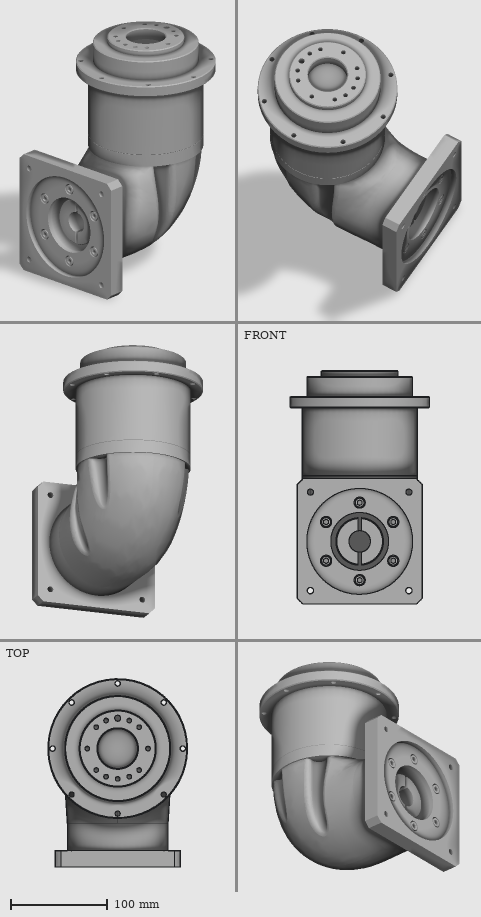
import cadquery as cq
import math


PLATE_SIDE = 130.0
PLATE_THICKNESS = 17.0
PLATE_CORNER_CHAMFER = 6.0
PLATE_HOLE_OFFSET = 51.0
PLATE_HOLE_RADIUS = 3.1
RECESS_RADIUS = 55.0
RECESS_DEPTH = 6.0

SCREW_COUNT = 6
SCREW_CIRCLE_RADIUS = 40.2
COUNTERBORE_RADIUS = 5.8
SCREW_HEAD_RADIUS = 4.5
HEAD_CLEARANCE_DEPTH = 4.8
HEX_ACROSS_CORNERS = 5.8
HEX_DEPTH = 3.0

INPUT_BORE_RADIUS = 30.0
HUB_RADIUS = 24.7
HUB_LENGTH = 24.2
HUB_CHAMFER = 1.0
SHAFT_BORE_RADIUS = 11.1
SHAFT_BORE_DEPTH = 34.0
CLAMP_SLOT_WIDTH = 3.5

FLANGE_RADIUS = 72.55
BARREL_RADIUS = 59.8
PILOT_RADIUS = 55.0
DISC_RADIUS = 40.0
OVERALL_HEIGHT = 242.2
OVERALL_DEPTH = 195.5
DISC_HEIGHT = 6.0
PILOT_HEIGHT = 20.8
FLANGE_HEIGHT = 11.6
BARREL_HEIGHT = 70.7
COLLAR_HEIGHT = 12.8
EDGE_CHAMFER = 1.0
SEAM_CHAMFER = 0.5

FLANGE_HOLE_COUNT = 8
FLANGE_HOLE_CIRCLE_RADIUS = 67.5
FLANGE_HOLE_RADIUS = 2.7

DISC_BORE_RADIUS = 20.5
DISC_BORE_DEPTH = 12.0
DISC_HOLE_CIRCLE_RADIUS = 31.5
DISC_HOLE_RADIUS = 2.5
DISC_HOLE_DEPTH = 9.7
DRILL_POINT_ANGLE = 118
DISC_HOLE_ANGLES = (0, 45, 67.5, 112.5, 135, 180, 225, 247.5, 270, 292.5, 315)
DOWEL_HOLE_ANGLE = 90
DOWEL_HOLE_RADIUS = 3.1
DOWEL_HOLE_DEPTH = 9.7

NECK_RADIUS = 58.1
INPUT_TUBE_RADIUS = 52.3
INPUT_TUBE_LENGTH = 28.0
BEND_RADIUS = 99.8
BEND_SECTIONS = 7

GROOVE_X = 48.0
GROOVE_Y = 27.5
GROOVE_RADIUS = 8.2
GROOVE_EDGE_FILLET = 5.3
RIM_TOP_MARGIN = 0.2

TOP_Z = OVERALL_HEIGHT - PLATE_SIDE / 2
PILOT_TOP_Z = TOP_Z - DISC_HEIGHT
FLANGE_TOP_Z = PILOT_TOP_Z - PILOT_HEIGHT
BARREL_TOP_Z = FLANGE_TOP_Z - FLANGE_HEIGHT
COLLAR_TOP_Z = BARREL_TOP_Z - BARREL_HEIGHT
NECK_Z = COLLAR_TOP_Z - COLLAR_HEIGHT
PLATE_FRONT_Y = FLANGE_RADIUS - OVERALL_DEPTH
PLATE_BACK_Y = PLATE_FRONT_Y + PLATE_THICKNESS
RECESS_FLOOR_Y = PLATE_FRONT_Y + RECESS_DEPTH
BEND_END_Y = PLATE_BACK_Y + INPUT_TUBE_LENGTH


def plane_facing_input(y):
    """Plane at the given Y, with X to the right, Z up and its normal toward -Y."""
    return cq.Workplane("XZ", origin=(0, y, 0))


def bend_outer_reach(angle):
    """Distance from the pivot (BEND_END_Y, NECK_Z) to the outside of the bend.

    The outside is an arc tangent to the back of the neck and the underside of the input tube.
    """
    centre_y = NECK_RADIUS - BEND_RADIUS - BEND_END_Y
    centre_z = BEND_RADIUS - INPUT_TUBE_RADIUS - NECK_Z
    along_y = math.cos(angle)
    along_z = -math.sin(angle)
    to_neck_back = (NECK_RADIUS - BEND_END_Y) / max(along_y, 1e-9)
    if to_neck_back * along_z >= centre_z:
        return to_neck_back
    to_tube_bottom = (NECK_Z + INPUT_TUBE_RADIUS) / -along_z
    if to_tube_bottom * along_y <= centre_y:
        return to_tube_bottom
    projection = centre_y * along_y + centre_z * along_z
    offset_squared = centre_y**2 + centre_z**2 - projection**2
    return projection + math.sqrt(BEND_RADIUS**2 - offset_squared)


def bend_inner_reach(angle):
    """Distance from the pivot to the sharp inside corner, below the neck and above the tube."""
    to_neck_front = (-NECK_RADIUS - BEND_END_Y) / max(math.cos(angle), 1e-9)
    to_tube_top = (NECK_Z - INPUT_TUBE_RADIUS) / max(math.sin(angle), 1e-9)
    return min(to_neck_front, to_tube_top)


def bend_section(step):
    """Elliptical cross-section of the bend, in a plane turned about the pivot."""
    share = step / (BEND_SECTIONS - 1)
    angle = share * math.pi / 2
    half_width = NECK_RADIUS + share * (INPUT_TUBE_RADIUS - NECK_RADIUS)
    inner = bend_inner_reach(angle)
    outer = bend_outer_reach(angle)
    middle = (inner + outer) / 2
    half_depth = (outer - inner) / 2
    centre = cq.Vector(0, BEND_END_Y + middle * math.cos(angle), NECK_Z - middle * math.sin(angle))
    outward = cq.Vector(0, math.cos(angle), -math.sin(angle))
    normal = outward.cross(cq.Vector(1, 0, 0))
    ellipse = cq.Edge.makeEllipse(half_depth, half_width, centre, normal, outward) \
        if half_depth > half_width else \
        cq.Edge.makeEllipse(half_width, half_depth, centre, normal, cq.Vector(1, 0, 0), 90, 450)
    return cq.Wire.assembleEdges([ellipse])


def make_elbow():
    bend = cq.Workplane(cq.Solid.makeLoft([bend_section(step) for step in range(BEND_SECTIONS)]))
    tube = plane_facing_input(BEND_END_Y).circle(INPUT_TUBE_RADIUS).extrude(INPUT_TUBE_LENGTH)
    return bend.union(tube)


def cut_grooves(elbow):
    """Vertical round-bottomed grooves, open to the sides, with rounded rims."""
    reach = 2 * GROOVE_RADIUS
    for side in (-1, 1):
        for y in (-GROOVE_Y, GROOVE_Y):
            groove = (
                cq.Workplane("XY", origin=(side * GROOVE_X, y, NECK_Z))
                .moveTo(side * reach, -GROOVE_RADIUS)
                .lineTo(0, -GROOVE_RADIUS)
                .threePointArc((-side * GROOVE_RADIUS, 0), (0, GROOVE_RADIUS))
                .lineTo(side * reach, GROOVE_RADIUS)
                .close()
                .extrude(-NECK_Z - INPUT_TUBE_RADIUS)
            )
            elbow = elbow.cut(groove)
    for side in (-1, 1):
        rims = cq.selectors.BoxSelector(
            (side * GROOVE_X / 2, -2 * GROOVE_Y, -INPUT_TUBE_RADIUS),
            (side * 2 * GROOVE_X, 2 * GROOVE_Y, NECK_Z - RIM_TOP_MARGIN),
        )
        elbow = elbow.edges(rims).edges("not |Z").fillet(GROOVE_EDGE_FILLET)
    return elbow


def make_output_end():
    """Collar, barrel, flange, pilot and output disc, turned about Z."""
    profile = [
        (0, NECK_Z),
        (BARREL_RADIUS, NECK_Z),
        (BARREL_RADIUS, COLLAR_TOP_Z),
        (BARREL_RADIUS - SEAM_CHAMFER, COLLAR_TOP_Z),
        (BARREL_RADIUS, COLLAR_TOP_Z + SEAM_CHAMFER),
        (BARREL_RADIUS, BARREL_TOP_Z),
        (FLANGE_RADIUS - EDGE_CHAMFER, BARREL_TOP_Z),
        (FLANGE_RADIUS, BARREL_TOP_Z + EDGE_CHAMFER),
        (FLANGE_RADIUS, FLANGE_TOP_Z - EDGE_CHAMFER),
        (FLANGE_RADIUS - EDGE_CHAMFER, FLANGE_TOP_Z),
        (PILOT_RADIUS, FLANGE_TOP_Z),
        (PILOT_RADIUS, PILOT_TOP_Z - EDGE_CHAMFER),
        (PILOT_RADIUS - EDGE_CHAMFER, PILOT_TOP_Z),
        (DISC_RADIUS, PILOT_TOP_Z),
        (DISC_RADIUS, TOP_Z - EDGE_CHAMFER),
        (DISC_RADIUS - EDGE_CHAMFER, TOP_Z),
        (DISC_BORE_RADIUS + EDGE_CHAMFER, TOP_Z),
        (DISC_BORE_RADIUS, TOP_Z - EDGE_CHAMFER),
        (DISC_BORE_RADIUS, TOP_Z - DISC_BORE_DEPTH),
        (0, TOP_Z - DISC_BORE_DEPTH),
    ]
    return cq.Workplane("XZ").polyline(profile).close().revolve(360, (0, 0), (0, 1))


def drill_flange_holes(body):
    holes = (
        cq.Workplane("XY", origin=(0, 0, BARREL_TOP_Z))
        .polarArray(FLANGE_HOLE_CIRCLE_RADIUS, 0, 360, FLANGE_HOLE_COUNT)
        .circle(FLANGE_HOLE_RADIUS)
        .extrude(FLANGE_HEIGHT)
    )
    return body.cut(holes)


def drill_disc_holes(body):
    point_depth = DISC_HOLE_RADIUS / math.tan(math.radians(DRILL_POINT_ANGLE / 2))
    drill = (
        cq.Workplane("XZ")
        .polyline([
            (0, 0),
            (DISC_HOLE_RADIUS, 0),
            (DISC_HOLE_RADIUS, -DISC_HOLE_DEPTH),
            (0, -DISC_HOLE_DEPTH - point_depth),
        ])
        .close()
        .revolve(360, (0, 0), (0, 1))
        .translate((DISC_HOLE_CIRCLE_RADIUS, 0, TOP_Z))
    )
    for angle in DISC_HOLE_ANGLES:
        body = body.cut(drill.rotate((0, 0, 0), (0, 0, 1), angle))
    dowel_hole = (
        cq.Workplane("XY", origin=(0, 0, TOP_Z))
        .polarArray(DISC_HOLE_CIRCLE_RADIUS, DOWEL_HOLE_ANGLE, 360, 1)
        .circle(DOWEL_HOLE_RADIUS)
        .extrude(-DOWEL_HOLE_DEPTH)
    )
    return body.cut(dowel_hole)


def cut_input_hub(body):
    """Ring-shaped gap that leaves the clamping hub, with its shaft bore and clamp slot."""
    pocket = plane_facing_input(PLATE_BACK_Y).circle(INPUT_BORE_RADIUS).extrude(-HUB_LENGTH)
    hub = (
        plane_facing_input(PLATE_BACK_Y).circle(HUB_RADIUS).extrude(-HUB_LENGTH)
        .faces("<Y").chamfer(HUB_CHAMFER)
    )
    bore = plane_facing_input(PLATE_BACK_Y).circle(SHAFT_BORE_RADIUS).extrude(-SHAFT_BORE_DEPTH)
    slot = plane_facing_input(PLATE_BACK_Y).rect(CLAMP_SLOT_WIDTH, 2 * HUB_RADIUS).extrude(-HUB_LENGTH)
    return body.cut(pocket.cut(hub)).cut(bore).cut(slot)


def make_gearbox():
    body = cut_grooves(make_elbow()).union(make_output_end())
    body = drill_flange_holes(body)
    body = drill_disc_holes(body)
    return cut_input_hub(body)


def cut_screw_heads(plate):
    """Clearance ring and hexagon socket of each sunk screw head."""
    places = plane_facing_input(RECESS_FLOOR_Y).polarArray(SCREW_CIRCLE_RADIUS, 90, 360, SCREW_COUNT)
    rings = places.circle(COUNTERBORE_RADIUS).circle(SCREW_HEAD_RADIUS).extrude(-HEAD_CLEARANCE_DEPTH)
    sockets = places.polygon(6, HEX_ACROSS_CORNERS).extrude(-HEX_DEPTH)
    return plate.cut(rings).cut(sockets)


def make_motor_plate():
    plate = (
        plane_facing_input(PLATE_BACK_Y).rect(PLATE_SIDE, PLATE_SIDE).extrude(PLATE_THICKNESS)
        .edges("|Y").chamfer(PLATE_CORNER_CHAMFER)
    )
    recess = plane_facing_input(PLATE_FRONT_Y).circle(RECESS_RADIUS).extrude(-RECESS_DEPTH)
    bore = plane_facing_input(PLATE_FRONT_Y).circle(INPUT_BORE_RADIUS).extrude(-PLATE_THICKNESS)
    corner_holes = (
        plane_facing_input(PLATE_FRONT_Y)
        .rect(2 * PLATE_HOLE_OFFSET, 2 * PLATE_HOLE_OFFSET, forConstruction=True)
        .vertices()
        .circle(PLATE_HOLE_RADIUS)
        .extrude(-PLATE_THICKNESS)
    )
    return cut_screw_heads(plate.cut(recess).cut(bore).cut(corner_holes))


gearbox = make_gearbox()
motor_plate = make_motor_plate()
result = cq.Compound.makeCompound([gearbox.val(), motor_plate.val()])